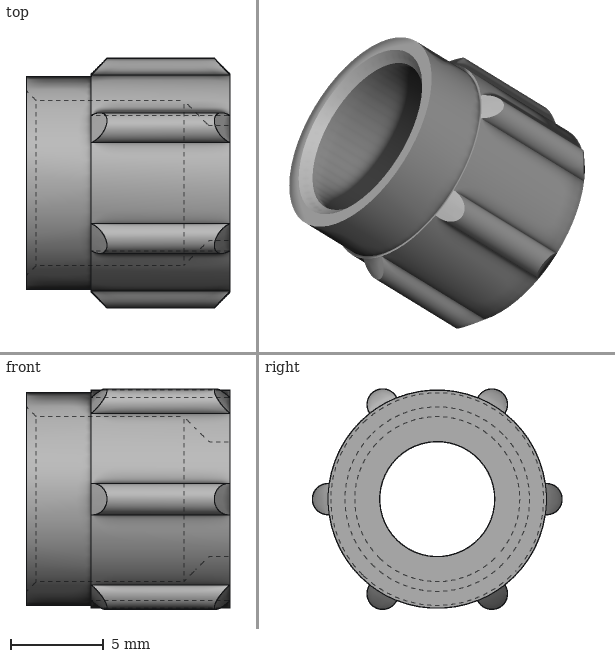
import cadquery as cq
import math

total_length = 11.0
collar_length = 3.5
collar_diameter = 11.5
body_length = total_length - collar_length
body_diameter = 11.8

bore_diameter = 8.92
bore_end = 8.5
entry_chamfer = 0.53
outlet_diameter = 6.2
seat_angle = 45
outlet_rounding = 0.2

rib_count = 6
rib_radius = 0.85
rib_pitch_radius = body_diameter / 2
rib_tip_radius = rib_pitch_radius + rib_radius
rib_chamfer = rib_radius

yz_plane = cq.Workplane("YZ")


def make_sleeve():
    collar = yz_plane.circle(collar_diameter / 2).extrude(collar_length)
    body = yz_plane.workplane(offset=collar_length).circle(body_diameter / 2).extrude(body_length)
    return collar.union(body)


def make_ribs():
    """Round bars on a common circle, trimmed by a disc chamfered at both ends."""
    bars = (
        yz_plane.workplane(offset=collar_length)
        .polarArray(rib_pitch_radius, 0, 360, rib_count)
        .circle(rib_radius)
        .extrude(body_length)
    )
    envelope = (
        yz_plane.workplane(offset=collar_length)
        .circle(rib_tip_radius)
        .extrude(body_length)
        .faces("<X or >X")
        .edges()
        .chamfer(rib_chamfer)
    )
    return bars.intersect(envelope)


def make_passage():
    """Revolved void: chamfered entry, wide bore, conical seat and rounded narrow outlet."""
    bore_radius = bore_diameter / 2
    outlet_radius = outlet_diameter / 2
    slope = math.radians(seat_angle)
    seat_corner = bore_end + (bore_radius - outlet_radius) / math.tan(slope)
    blend_length = outlet_rounding * math.tan(slope / 2)
    blend_start = (
        seat_corner - blend_length * math.cos(slope),
        outlet_radius + blend_length * math.sin(slope),
    )
    blend_end = (seat_corner + blend_length, outlet_radius)
    return (
        cq.Workplane("XY")
        .moveTo(0, 0)
        .lineTo(0, bore_radius + entry_chamfer)
        .lineTo(entry_chamfer, bore_radius)
        .lineTo(bore_end, bore_radius)
        .lineTo(*blend_start)
        .tangentArcPoint(blend_end, relative=False)
        .lineTo(total_length, outlet_radius)
        .lineTo(total_length, 0)
        .close()
        .revolve(360, (0, 0, 0), (1, 0, 0))
    )


result = make_sleeve().union(make_ribs()).cut(make_passage())